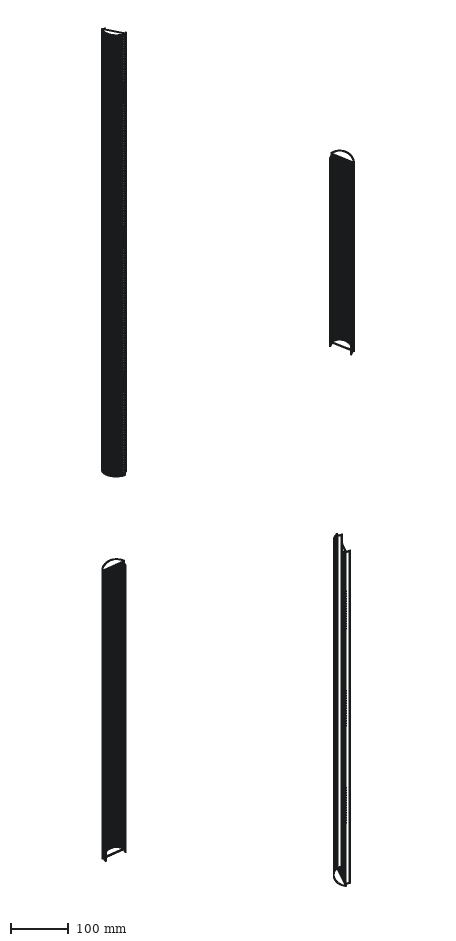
import cadquery as cq
import math

total_length = 885.0
width = 42.96
depth = 21.73

cap_thickness = 2.5
leg_setback = 1.0
profile_length = total_length - 2 * cap_thickness
leg_run = profile_length - 2 * leg_setback

dome_radius = 25.0
dome_half_angle = math.radians(56.65)
front_y = -depth / 2
dome_center_y = front_y + dome_radius
dome_half_width = dome_radius * math.sin(dome_half_angle)
dome_edge_y = dome_center_y - dome_radius * math.cos(dome_half_angle)

rim_half_width = width / 2
rim_flare = 0.6
rim_height = 1.8
rim_y = dome_edge_y + rim_flare
back_y = dome_edge_y + rim_height

groove_count = 18
crest_wall = 2.0
root_wall = 1.0
crest_radius = dome_radius - crest_wall
root_radius = dome_radius - root_wall

leg_outer_x = 20.4
leg_thickness = 1.0
leg_lean = math.radians(2.45)
leg_tip_y = depth / 2
barb_height = 1.8
barb_reach = 0.3


def dome_point(radius, angle):
    """Point on a circle around the dome centre, the angle measured from the front."""
    return (radius * math.sin(angle), dome_center_y - radius * math.cos(angle))


def dome_section():
    """Closed outline of the dome and its flared rim."""
    return (
        cq.Workplane("XY")
        .moveTo(-rim_half_width, back_y)
        .lineTo(-rim_half_width, rim_y)
        .lineTo(-dome_half_width, dome_edge_y)
        .threePointArc((0, front_y), (dome_half_width, dome_edge_y))
        .lineTo(rim_half_width, rim_y)
        .lineTo(rim_half_width, back_y)
        .close()
    )


def hollow_section():
    """Closed outline of the space behind the dome, with V-grooves along its curved side."""
    half_angle = math.acos((dome_center_y - dome_edge_y) / crest_radius)
    pitch = 2 * half_angle / groove_count
    points = [dome_point(crest_radius, -half_angle)]
    for i in range(groove_count):
        start = -half_angle + i * pitch
        points.append(dome_point(root_radius, start + pitch / 2))
        points.append(dome_point(crest_radius, start + pitch))
    end_x = points[-1][0]
    return cq.Workplane("XY").polyline([(-end_x, back_y), *points, (end_x, back_y)]).close()


def leg_face_x(y):
    """X of the leaning outer face of the +X leg."""
    return leg_outer_x - (y - back_y) * math.tan(leg_lean)


def make_leg(side):
    """Leg on the given side (-1 or 1), with an outward barb at its tip."""
    barb_y = leg_tip_y - barb_height
    points = [
        (leg_face_x(back_y) - leg_thickness, back_y),
        (leg_face_x(back_y), back_y),
        (leg_face_x(barb_y), barb_y),
        (leg_face_x(barb_y) + barb_reach, barb_y),
        (leg_face_x(leg_tip_y), leg_tip_y),
        (leg_face_x(leg_tip_y) - leg_thickness, leg_tip_y),
    ]
    outline = cq.Workplane("XY").polyline([(side * x, y) for x, y in points]).close()
    return outline.extrude(leg_run).translate((0, 0, -leg_run / 2))


def make_profile():
    """Hollow fluted dome with a snap leg on each rim."""
    profile_body = dome_section().extrude(profile_length)
    profile_body = profile_body.cut(hollow_section().extrude(profile_length))
    profile_body = profile_body.translate((0, 0, -profile_length / 2))
    for side in (-1, 1):
        profile_body = profile_body.union(make_leg(side))
    return profile_body


def make_cap(bottom_z):
    """Solid end plate with the outline of the dome."""
    return dome_section().extrude(cap_thickness).translate((0, 0, bottom_z))


profile = make_profile()
caps = [make_cap(bottom_z) for bottom_z in (-total_length / 2, profile_length / 2)]

result = cq.Compound.makeCompound([profile.solids().val(), *[cap.val() for cap in caps]])